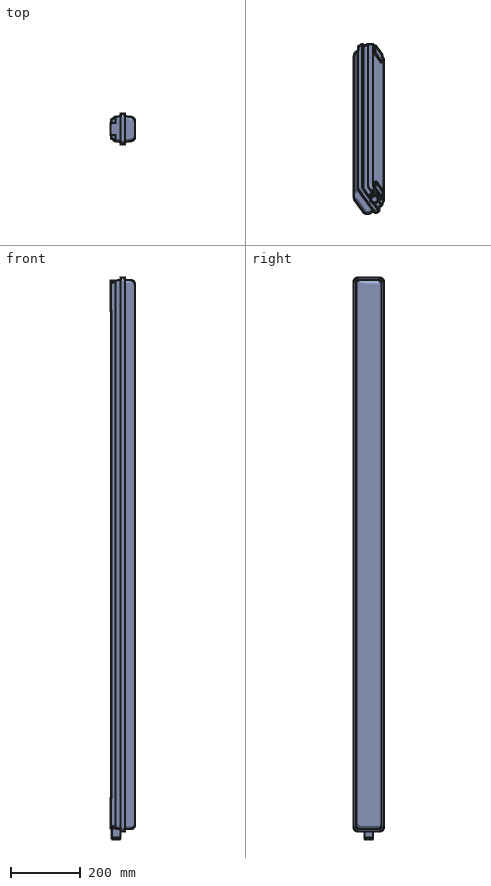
import cadquery as cq
import math

length = 1607.0
gland_drop = 23.0
rim_top = length / 2
rim_bottom = -length / 2 + gland_drop
rim_middle = (rim_top + rim_bottom) / 2
rim_length = rim_top - rim_bottom
pad_x = -35.0
front_x = 35.0

rim_width = 88.0
rim_thickness = 13.0
rim_corner_radius = 16.0
rim_half_thickness = rim_thickness / 2

rim_overhang = 7.2
draft_angle = 7.0
draft_slope = math.tan(math.radians(draft_angle))
wall_width = rim_width - 2 * rim_overhang
wall_length = rim_length - 2 * rim_overhang
wall_corner_radius = 11.0

base_wall_height = 15.0
base_wall_inset = base_wall_height * draft_slope
bevel_start_x = -rim_half_thickness - base_wall_height
bevel_angle = 34.5
pad_thickness = 2.4
back_x = pad_x + pad_thickness

front_radius = 15.0

pad_width = 34.0
pad_length = 87.0
pad_corner_radius = 8.0
pad_end_inset = rim_overhang + base_wall_inset

gland_diameter = 25.0
gland_tip_diameter = 20.0
gland_tip_height = 5.6
gland_x = -rim_half_thickness - gland_diameter / 2
gland_seat_z = rim_bottom + pad_end_inset


def backward_block(start_x, end_x, width, block_length, corner_radius, taper=0.0):
    """Rounded YZ rectangle extruded toward -X, optionally narrowing by the taper angle."""
    outline = cq.Sketch().rect(width, block_length).vertices().fillet(corner_radius)
    plane = cq.Plane(origin=(start_x, 0, rim_middle), xDir=(0, -1, 0), normal=(-1, 0, 0))
    return cq.Workplane(plane).placeSketch(outline).extrude(start_x - end_x, taper=taper)


def make_gland():
    """Round gland with a tapered tip, pointing down from its seat in the base."""
    tip_bevel = (gland_diameter - gland_tip_diameter) / 2
    return (
        cq.Workplane("XY", origin=(gland_x, 0, -length / 2))
        .circle(gland_diameter / 2)
        .extrude(gland_seat_z + length / 2)
        .faces("<Z")
        .chamfer(gland_tip_height, tip_bevel)
    )


def make_mounting_pad(end):
    """Pad at the top (end = 1) or bottom (end = -1), with two rounded corners on its inner end."""
    outer_z = rim_middle + end * (rim_length / 2 - pad_end_inset)
    return (
        cq.Workplane("XY")
        .box(bevel_start_x - pad_x, pad_width, pad_length)
        .faces("<Z" if end > 0 else ">Z")
        .edges("|X")
        .fillet(pad_corner_radius)
        .translate(((pad_x + bevel_start_x) / 2, 0, outer_z - end * pad_length / 2))
    )


def make_base(seated_gland):
    """Back shell with a bevelled back, mounting pads and the seat of the gland."""
    wall = backward_block(
        -rim_half_thickness, bevel_start_x, wall_width, wall_length, wall_corner_radius,
        draft_angle,
    )
    bevelled_back = backward_block(
        bevel_start_x, back_x,
        wall_width - 2 * base_wall_inset, wall_length - 2 * base_wall_inset,
        wall_corner_radius - base_wall_inset, bevel_angle,
    )
    shell = wall.union(bevelled_back)
    for end in (1, -1):
        shell = shell.union(make_mounting_pad(end))
    return shell.cut(seated_gland)


def make_cover():
    """Front shell with drafted sides and a rounded front, joined to the overhanging rim."""
    side_y = wall_width / 2
    front_y = side_y - (front_x - rim_half_thickness) * draft_slope
    shell = (
        cq.Workplane("XY", origin=(0, 0, rim_bottom + rim_overhang))
        .moveTo(rim_half_thickness, -side_y)
        .lineTo(front_x, -front_y)
        .lineTo(front_x, front_y)
        .lineTo(rim_half_thickness, side_y)
        .close()
        .extrude(wall_length)
    )
    corner_edges = shell.edges("<Z or >Z").edges("not |Y")
    shell = corner_edges.fillet(wall_corner_radius)
    shell = shell.faces(">X").edges().fillet(front_radius)
    rim = backward_block(
        rim_half_thickness, -rim_half_thickness, rim_width, rim_length, rim_corner_radius
    )
    return rim.union(shell)


gland = make_gland()
base = make_base(gland)
cover = make_cover()

result = cq.Compound.makeCompound([base.solids().val(), cover.solids().val(), gland.solids().val()])